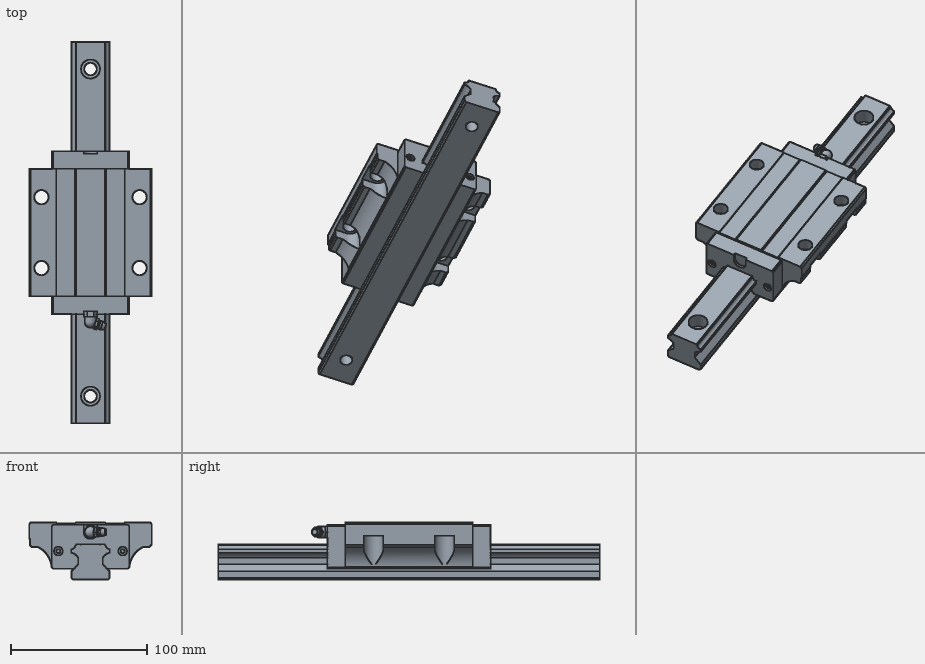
import cadquery as cq
import math

rail_length = 280.0
rail_height = 26.0
rail_half_width = 14.0
rail_top_half_width = 10.4
rail_neck_half_width = 9.0
rail_foot_chamfer = 1.3
rail_foot_top = 6.2
rail_neck_bottom = 11.3
rail_neck_top = 16.0
rail_lip_bottom = 19.8
rail_lip_top = 22.3
rail_shoulder_half_width = 11.0
rail_shoulder_height = 25.2
ball_groove_sag = 0.7

rail_hole_spacing = 240.0
rail_hole_diameter = 9.0
rail_bore_diameter = 14.0
rail_bore_depth = 12.0

carriage_top = 42.0
carriage_bottom = 8.0
block_length = 93.6
block_half_width = 45.0
block_foot_half_width = 28.7
block_top_chamfer = 1.2
flange_bottom = 24.0
flange_bottom_chamfer = 1.8
flange_inner_half_width = 38.8
flank_foot_height = 9.6
flank_sag = 2.4
edge_relief = 0.6
edge_relief_height = 30.5
edge_relief_slope = 0.8

band_inner_half_width = 11.0
band_outer_half_width = 25.0
band_slope_width = 1.0
band_depth = 0.5

mount_spacing_x = 72.0
mount_spacing_y = 52.0
mount_hole_diameter = 10.3
mount_relief_width = 14.4
mount_relief_height = 32.2

carriage_length = 119.6
cap_end = carriage_length / 2
cap_half_width = 28.4
cap_top = 40.3
cap_chamfer = 1.0
screw_spacing = 47.2
screw_height = 21.0
screw_bore_diameter = 6.4
screw_bore_depth = 2.0
screw_hole_diameter = 3.0
screw_hole_depth = 6.0

nipple_height = 35.0
recess_radius = 5.0
recess_depth = 2.0
base_corner_diameter = 9.9
base_length = 3.8
elbow_radius = 4.2
elbow_length = 4.0
nozzle_angle = 18.0
nozzle_hex_corner_diameter = 8.0
nozzle_hex_start = 3.5
nozzle_hex_end = 5.6
nozzle_neck_radius = 2.6
nozzle_neck_end = 6.9
nozzle_head_radius = 3.2
nozzle_head_end = 8.6
nozzle_tip_radius = 2.2
nozzle_tip_end = 11.6


def hollow_point(start, end, sag):
    """Middle point of an arc that lies `sag` to the left of the chord from start to end."""
    dx = end[0] - start[0]
    dz = end[1] - start[1]
    chord = math.hypot(dx, dz)
    return ((start[0] + end[0]) / 2 - sag * dz / chord, (start[1] + end[1]) / 2 + sag * dx / chord)


def extrude_along_y(outline, length):
    return outline.close().extrude(length / 2, both=True)


def make_rail_bar():
    """Plain rail bar, symmetric about X = 0; half the outline is drawn and mirrored."""
    lip_bottom = (rail_half_width, rail_lip_bottom)
    lip_top = (rail_half_width, rail_lip_top)
    neck_top = (rail_neck_half_width, rail_neck_top)
    shoulder = (rail_shoulder_half_width, rail_shoulder_height)
    half = (
        cq.Workplane("XZ")
        .moveTo(0, 0)
        .lineTo(rail_half_width - rail_foot_chamfer, 0)
        .lineTo(rail_half_width, rail_foot_chamfer)
        .lineTo(rail_half_width, rail_foot_top)
        .lineTo(rail_neck_half_width, rail_neck_bottom)
        .lineTo(*neck_top)
        .threePointArc(hollow_point(neck_top, lip_bottom, ball_groove_sag), lip_bottom)
        .lineTo(*lip_top)
        .threePointArc(hollow_point(lip_top, shoulder, ball_groove_sag), shoulder)
        .lineTo(rail_top_half_width, rail_height)
        .lineTo(0, rail_height)
    )
    half_bar = extrude_along_y(half, rail_length)
    return half_bar.union(half_bar.mirror("YZ")).clean()


def make_rail(bar):
    hole_places = [(0, -rail_hole_spacing / 2), (0, rail_hole_spacing / 2)]
    return (
        bar.faces(">Z").workplane(origin=(0, 0, rail_height))
        .pushPoints(hole_places)
        .cboreHole(rail_hole_diameter, rail_bore_diameter, rail_bore_depth)
    )


def make_block():
    """Middle of the carriage: wide top flanges on concave flanks."""
    flank_top = (flange_inner_half_width, flange_bottom)
    flank_foot = (block_foot_half_width, flank_foot_height)
    half = (
        cq.Workplane("XZ")
        .moveTo(0, carriage_bottom)
        .lineTo(cap_half_width - cap_chamfer, carriage_bottom)
        .lineTo(*flank_foot)
        .threePointArc(hollow_point(flank_foot, flank_top, flank_sag), flank_top)
        .lineTo(block_half_width - flange_bottom_chamfer, flange_bottom)
        .lineTo(block_half_width, flange_bottom + flange_bottom_chamfer)
        .lineTo(block_half_width, carriage_top - block_top_chamfer)
        .lineTo(block_half_width - block_top_chamfer, carriage_top)
        .lineTo(0, carriage_top)
    )
    half_block = extrude_along_y(half, block_length)
    return half_block.union(half_block.mirror("YZ")).clean()


def make_edge_relief():
    """Shallow step below the reference edge on the -X flange."""
    outline = (
        cq.Workplane("XZ")
        .moveTo(-block_half_width, flange_bottom)
        .lineTo(-block_half_width, edge_relief_height)
        .lineTo(edge_relief - block_half_width, edge_relief_height - edge_relief_slope)
        .lineTo(edge_relief - block_half_width, flange_bottom)
    )
    return extrude_along_y(outline, block_length)


def make_top_band(side):
    """Shallow band along the top; its inner wall slopes up to the middle strip."""
    outline = (
        cq.Workplane("XZ")
        .moveTo(side * (band_inner_half_width - band_slope_width / 2), carriage_top)
        .lineTo(side * (band_inner_half_width + band_slope_width / 2), carriage_top - band_depth)
        .lineTo(side * band_outer_half_width, carriage_top - band_depth)
        .lineTo(side * band_outer_half_width, carriage_top)
    )
    return extrude_along_y(outline, block_length)


def make_mount_cut(side, y):
    """Bolt hole with a bolt-head relief below it that opens through the flange side."""
    x = side * mount_spacing_x / 2
    hole = cq.Workplane("XY").center(x, y).circle(mount_hole_diameter / 2).extrude(carriage_top)
    relief = cq.Workplane("XY").center(x, y).circle(mount_relief_width / 2).extrude(mount_relief_height)
    opening = (
        cq.Workplane("XY")
        .center(x + side * block_half_width / 2, y)
        .rect(block_half_width, mount_relief_width)
        .extrude(mount_relief_height)
    )
    return hole.union(relief).union(opening)


def make_caps():
    """Both end caps as one bar through the block."""
    height = cap_top - carriage_bottom
    return (
        cq.Workplane("XY")
        .box(2 * cap_half_width, 2 * cap_end, height)
        .edges("|Y")
        .chamfer(cap_chamfer)
        .translate((0, 0, carriage_bottom + height / 2))
    )


def make_cap_cut(end):
    """Screw bores and the nipple recess of the cap at the -Y (end = -1) or +Y (end = 1) end."""
    plane = cq.Plane(origin=(0, end * cap_end, 0), xDir=(1, 0, 0), normal=(0, -1, 0))
    screw_places = [(side * screw_spacing / 2, screw_height) for side in (-1, 1)]
    bores = (
        cq.Workplane(plane).pushPoints(screw_places)
        .circle(screw_bore_diameter / 2).extrude(end * screw_bore_depth)
    )
    holes = (
        cq.Workplane(plane).pushPoints(screw_places)
        .circle(screw_hole_diameter / 2).extrude(end * screw_hole_depth)
    )
    recess = (
        cq.Workplane(plane)
        .moveTo(-recess_radius, carriage_top)
        .lineTo(-recess_radius, nipple_height)
        .threePointArc((0, nipple_height - recess_radius), (recess_radius, nipple_height))
        .lineTo(recess_radius, carriage_top)
        .close()
        .extrude(end * recess_depth)
    )
    return bores.union(holes).union(recess)


def make_carriage(bar):
    carriage = make_block().cut(make_edge_relief())
    for side in (-1, 1):
        carriage = carriage.cut(make_top_band(side))
        for y in (-mount_spacing_y / 2, mount_spacing_y / 2):
            carriage = carriage.cut(make_mount_cut(side, y))
    carriage = carriage.union(make_caps())
    for end in (-1, 1):
        carriage = carriage.cut(make_cap_cut(end))
    return carriage.cut(bar)


def make_nipple():
    """Grease nipple: hexagonal base, round elbow with a ball end, and a leaning nozzle."""
    seat_y = -cap_end + recess_depth
    elbow_y = seat_y - base_length - elbow_length
    base = (
        cq.Workplane("XZ", origin=(0, seat_y, nipple_height))
        .polygon(6, base_corner_diameter)
        .extrude(base_length)
    )
    stem = (
        cq.Workplane("XZ", origin=(0, seat_y, nipple_height))
        .circle(elbow_radius)
        .extrude(base_length + elbow_length)
    )
    ball = cq.Workplane("XY").sphere(elbow_radius).translate((0, elbow_y, nipple_height))

    lean = math.radians(nozzle_angle)
    nozzle_plane = cq.Plane(
        origin=(0, elbow_y, nipple_height),
        xDir=(math.sin(lean), math.cos(lean), 0),
        normal=(math.cos(lean), -math.sin(lean), 0),
    )
    nozzle_hex = (
        cq.Workplane(nozzle_plane)
        .workplane(offset=nozzle_hex_start)
        .polygon(6, nozzle_hex_corner_diameter)
        .extrude(nozzle_hex_end - nozzle_hex_start)
    )
    neck = cq.Workplane(nozzle_plane).circle(nozzle_neck_radius).extrude(nozzle_neck_end)
    head_outline = (
        cq.Workplane("XY")
        .moveTo(0, nozzle_neck_end)
        .lineTo(nozzle_head_radius, nozzle_neck_end)
        .lineTo(nozzle_head_radius, nozzle_head_end)
        .lineTo(nozzle_tip_radius, nozzle_tip_end)
        .lineTo(0, nozzle_tip_end)
        .close()
    )
    head = (
        head_outline.revolve(360, (0, 0, 0), (0, 1, 0))
        .rotate((0, 0, 0), (0, 0, 1), -90 - nozzle_angle)
        .translate((0, elbow_y, nipple_height))
    )
    return base.union(stem).union(ball).union(nozzle_hex).union(neck).union(head)


rail_bar = make_rail_bar()
rail = make_rail(rail_bar)
carriage = make_carriage(rail_bar)
nipple = make_nipple()

bodies = [rail, carriage, nipple]
result = cq.Compound.makeCompound([body.solids().val() for body in bodies])